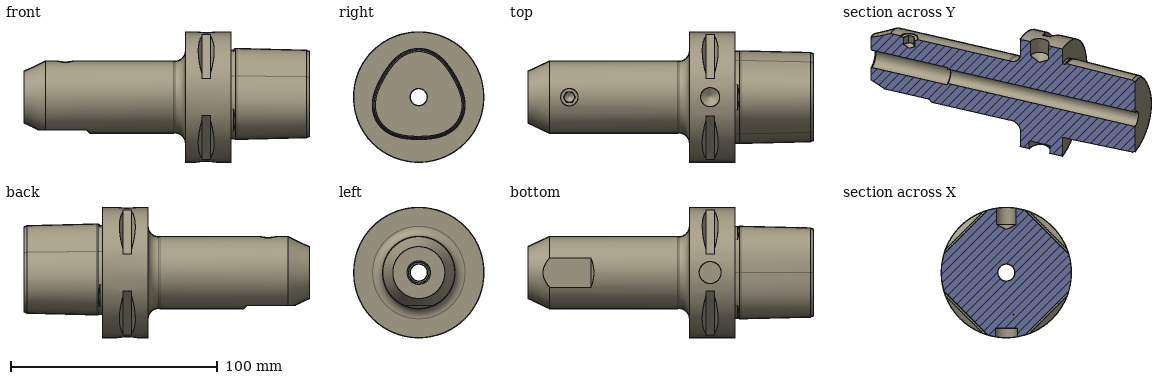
import cadquery as cq
import math

NOSE_END = 10.5
SHANK_END = 72.2
FLANGE_FRONT = 78.0
FLANGE_BACK = 100.0
LAND_START = 102.1
TAPER_START = 103.0
CHAMFER_START = 136.5
TOTAL_LENGTH = 138.0

NOSE_TIP_RADIUS = 12.5
SHANK_RADIUS = 17.5
NECK_RADIUS = 17.4
ROOT_FILLET = 5.0
FLANGE_DIAMETER = 63.0
FLANGE_RADIUS = FLANGE_DIAMETER / 2

FLAT_LEVEL = -16.0
FLAT_END = 30.4

BORE_RADIUS = 5.0
BORE_DEPTH = 40.0
BORE_CHAMFER = 0.7
COOLANT_DIAMETER = 8.1
COOLANT_RADIUS = COOLANT_DIAMETER / 2

SCREW_X = 20.0
SCREW_DIAMETER = 8.4
SCREW_FACE_LEVEL = 16.8
SOCKET_ACROSS_FLATS = 5.0
SOCKET_SIDES = 6
SOCKET_DEPTH = 4.1
SOCKET_TIP_HEIGHT = 1.4

RIM_FEATURE_X = 88.0
SLOT_ANGLES = (45, 135, 225, 315)
SLOT_FLOOR_DISTANCE = 27.7
SLOT_FLOOR_WIDTH = 4.0
SLOT_WALL_HEIGHT = 1.0
SLOT_RIM_WIDTH = 7.7
ORIENTATION_HOLE_DIAMETER = 9.2
ORIENTATION_HOLE_DEPTH = 8.3
DRILL_TIP_HALF_ANGLE = 60
CHIP_POCKET_DIAMETER = 10.6
CHIP_POCKET_DEPTH = 4.5

LOBE_MEAN_DIAMETER = 44.0
LOBE_MEAN_RADIUS = LOBE_MEAN_DIAMETER / 2
LOBE_ECCENTRICITY = 1.5
LOBE_COUNT = 3
LOBE_CURVE_SEGMENTS = 16
NECK_UNDERCUT = 0.1
TAPER_RISE = 0.8
END_CHAMFER_RISE = 0.7

GROOVE_RADIUS = 22.9
GROOVE_FLOOR_END = 101.3


def make_round_body():
    """Nose cone, shank, root fillet and flange turned about the X axis."""
    fillet_start = FLANGE_FRONT - ROOT_FILLET
    fillet_bend = ROOT_FILLET * math.sqrt(0.5)
    profile = (
        cq.Workplane("XY")
        .lineTo(0, NOSE_TIP_RADIUS)
        .lineTo(NOSE_END, SHANK_RADIUS)
        .lineTo(SHANK_END, SHANK_RADIUS)
        .lineTo(fillet_start, NECK_RADIUS)
        .threePointArc(
            (fillet_start + fillet_bend, NECK_RADIUS + ROOT_FILLET - fillet_bend),
            (FLANGE_FRONT, NECK_RADIUS + ROOT_FILLET),
        )
        .lineTo(FLANGE_FRONT, FLANGE_RADIUS)
        .lineTo(FLANGE_BACK, FLANGE_RADIUS)
        .lineTo(FLANGE_BACK, 0)
        .close()
    )
    return profile.revolve(360, (0, 0, 0), (1, 0, 0))


def make_flat_cutter():
    """Block below the shank flat, with a 45 degree run-out at its inner end."""
    depth = SHANK_RADIUS
    return (
        cq.Workplane("XZ")
        .moveTo(0, FLAT_LEVEL)
        .lineTo(FLAT_END, FLAT_LEVEL)
        .lineTo(FLAT_END + depth, FLAT_LEVEL - depth)
        .lineTo(0, FLAT_LEVEL - depth)
        .close()
        .extrude(SHANK_RADIUS, both=True)
    )


def lobe_section(x, mean_radius):
    """Closed three-lobed outline at station x, with one lobe crest at +Z."""
    sector = 2 * math.pi / LOBE_COUNT
    first_valley = math.pi / 2 - sector / 2

    def outline_point(angle):
        radius = mean_radius + LOBE_ECCENTRICITY * math.cos(LOBE_COUNT * (angle - math.pi / 2))
        return cq.Vector(x, radius * math.cos(angle), radius * math.sin(angle))

    edges = []
    for lobe in range(LOBE_COUNT):
        start = first_valley + lobe * sector
        angles = [start + sector * i / LOBE_CURVE_SEGMENTS for i in range(LOBE_CURVE_SEGMENTS + 1)]
        edges.append(cq.Edge.makeSpline([outline_point(angle) for angle in angles]))
    return cq.Wire.assembleEdges(edges)


def lobe_segment(x_start, radius_start, x_end, radius_end):
    """Solid between two three-lobed outlines of the given mean radii."""
    sections = [lobe_section(x_start, radius_start), lobe_section(x_end, radius_end)]
    return cq.Workplane(cq.Solid.makeLoft(sections, True))


def make_taper_shank():
    """Undercut neck, straight land, taper and end chamfer, all three-lobed."""
    neck_radius = LOBE_MEAN_RADIUS - NECK_UNDERCUT
    small_radius = LOBE_MEAN_RADIUS - TAPER_RISE
    end_radius = small_radius - END_CHAMFER_RISE
    neck = lobe_segment(FLANGE_BACK, neck_radius, LAND_START, neck_radius)
    land = lobe_segment(LAND_START, LOBE_MEAN_RADIUS, TAPER_START, LOBE_MEAN_RADIUS)
    taper = lobe_segment(TAPER_START, LOBE_MEAN_RADIUS, CHAMFER_START, small_radius)
    chamfer = lobe_segment(CHAMFER_START, small_radius, TOTAL_LENGTH, end_radius)
    return neck.union(land).union(taper).union(chamfer)


def make_groove_cutter():
    """Ring outside the relief groove: a flat floor and a flank rising to the land."""
    crest_radius = LOBE_MEAN_RADIUS + LOBE_ECCENTRICITY
    return (
        cq.Workplane("XY")
        .moveTo(FLANGE_BACK, GROOVE_RADIUS)
        .lineTo(GROOVE_FLOOR_END, GROOVE_RADIUS)
        .lineTo(LAND_START, crest_radius)
        .lineTo(LAND_START, FLANGE_RADIUS)
        .lineTo(FLANGE_BACK, FLANGE_RADIUS)
        .close()
        .revolve(360, (0, 0, 0), (1, 0, 0))
    )


def make_bore_cutter():
    """Chamfered clamping bore followed by a coolant passage through to the back."""
    return (
        cq.Workplane("XY")
        .lineTo(0, BORE_RADIUS + BORE_CHAMFER)
        .lineTo(BORE_CHAMFER, BORE_RADIUS)
        .lineTo(BORE_DEPTH, BORE_RADIUS)
        .lineTo(BORE_DEPTH, COOLANT_RADIUS)
        .lineTo(TOTAL_LENGTH, COOLANT_RADIUS)
        .lineTo(TOTAL_LENGTH, 0)
        .close()
        .revolve(360, (0, 0, 0), (1, 0, 0))
    )


def downward_cone(x, base_level, radius, height):
    """Cone on a vertical axis at station x, pointing down from its base."""
    return cq.Workplane(
        cq.Solid.makeCone(radius, 0, height, cq.Vector(x, 0, base_level), cq.Vector(0, 0, -1))
    )


def make_screw_cutter():
    """Recess above the clamping screw and its hexagon socket with a conical bottom."""
    recess = (
        cq.Workplane("XY", origin=(SCREW_X, 0, SCREW_FACE_LEVEL))
        .circle(SCREW_DIAMETER / 2)
        .extrude(SHANK_RADIUS - SCREW_FACE_LEVEL)
    )
    socket_across_corners = SOCKET_ACROSS_FLATS / math.cos(math.pi / SOCKET_SIDES)
    socket_floor = SCREW_FACE_LEVEL - SOCKET_DEPTH
    socket = (
        cq.Workplane("XY", origin=(SCREW_X, 0, socket_floor))
        .polygon(SOCKET_SIDES, socket_across_corners)
        .extrude(SOCKET_DEPTH)
    )
    tip = downward_cone(SCREW_X, socket_floor, SOCKET_ACROSS_FLATS / 2, SOCKET_TIP_HEIGHT)
    return recess.union(socket).union(tip)


def make_orientation_hole_cutter():
    """Blind drilled hole in the top of the flange."""
    radius = ORIENTATION_HOLE_DIAMETER / 2
    floor = FLANGE_RADIUS - ORIENTATION_HOLE_DEPTH
    tip_height = radius / math.tan(math.radians(DRILL_TIP_HALF_ANGLE))
    barrel = (
        cq.Workplane("XY", origin=(RIM_FEATURE_X, 0, floor))
        .circle(radius)
        .extrude(ORIENTATION_HOLE_DEPTH)
    )
    return barrel.union(downward_cone(RIM_FEATURE_X, floor, radius, tip_height))


def make_chip_pocket_cutter():
    """Flat-bottomed round pocket for a data chip, opposite the orientation hole."""
    return (
        cq.Workplane("XY", origin=(RIM_FEATURE_X, 0, -FLANGE_RADIUS))
        .circle(CHIP_POCKET_DIAMETER / 2)
        .extrude(CHIP_POCKET_DEPTH)
    )


def make_slot_cutter(angle):
    """Flared slot with short upright walls across the flange rim, turned by an angle about X."""
    half_floor = SLOT_FLOOR_WIDTH / 2
    wall_top = SLOT_FLOOR_DISTANCE + SLOT_WALL_HEIGHT
    half_rim = SLOT_RIM_WIDTH / 2
    return (
        cq.Workplane("XZ")
        .moveTo(RIM_FEATURE_X - half_floor, SLOT_FLOOR_DISTANCE)
        .lineTo(RIM_FEATURE_X + half_floor, SLOT_FLOOR_DISTANCE)
        .lineTo(RIM_FEATURE_X + half_floor, wall_top)
        .lineTo(RIM_FEATURE_X + half_rim, FLANGE_RADIUS)
        .lineTo(RIM_FEATURE_X - half_rim, FLANGE_RADIUS)
        .lineTo(RIM_FEATURE_X - half_floor, wall_top)
        .close()
        .extrude(FLANGE_RADIUS, both=True)
        .rotate((0, 0, 0), (1, 0, 0), angle)
    )


body = make_round_body().cut(make_flat_cutter())
shank = make_taper_shank().cut(make_groove_cutter())
result = body.union(shank).cut(make_bore_cutter()).cut(make_screw_cutter())
result = result.cut(make_orientation_hole_cutter())
result = result.cut(make_chip_pocket_cutter())
for slot_angle in SLOT_ANGLES:
    result = result.cut(make_slot_cutter(slot_angle))